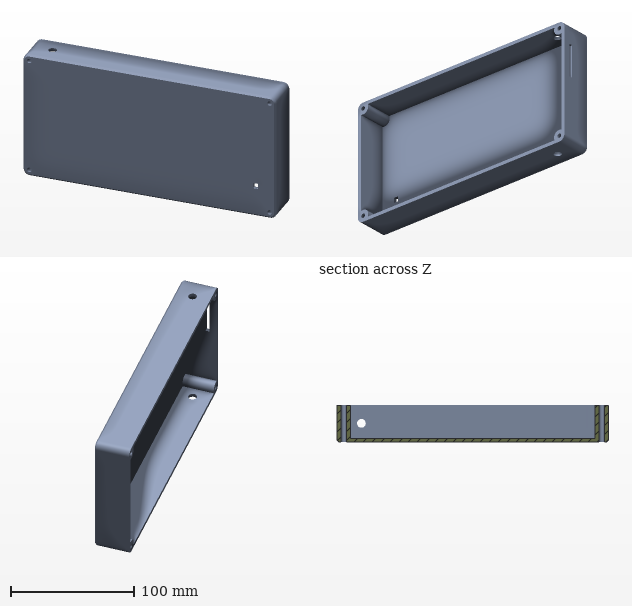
import cadquery as cq

length = 220.0
depth = 30.0
height = 110.0
corner_radius = 5.5
front_chamfer = 1.5
wall = 3.0

screw_diameter = 4.0
post_diameter = 2 * corner_radius

window_width = 4.2
window_height = 4.6
window_x = 92.5
window_z = -27.7

cable_hole_diameter = 7.0
cable_hole_x = -90.0

slot_width = 3.5
slot_height = 30.0
slot_z = 21.1
slot_back_distance = 8.0

front_y = -depth / 2
back_y = depth / 2
screw_x_spacing = length - 2 * corner_radius
screw_z_spacing = height - 2 * corner_radius


def front_plane(y):
    """Sketch plane facing -Y at the given Y; negative extrusions run toward +Y."""
    return cq.Workplane("XZ", origin=(0, y, 0))


def make_shell():
    """Rounded box with a chamfered front rim and a cavity open at the back."""
    outer = front_plane(front_y).rect(length, height).extrude(-depth)
    outer = outer.edges("|Y").fillet(corner_radius).faces("<Y").edges().chamfer(front_chamfer)
    cavity = front_plane(front_y + wall).rect(length - 2 * wall, height - 2 * wall).extrude(-depth)
    return outer.cut(cavity.edges("|Y").fillet(corner_radius - wall))


def screw_cylinders(diameter, start_y):
    """Four cylinders at the corners, from start_y to the open back."""
    centres = front_plane(start_y).rect(screw_x_spacing, screw_z_spacing, forConstruction=True)
    return centres.vertices().circle(diameter / 2).extrude(start_y - back_y)


def make_window():
    window = cq.Workplane("XY").box(window_width, 2 * wall, window_height)
    return window.translate((window_x, front_y, window_z))


def make_cable_hole():
    hole = cq.Workplane("XY").center(cable_hole_x, 0).circle(cable_hole_diameter / 2)
    return hole.extrude(height, both=True)


def make_slot():
    slot = cq.Workplane("XY").box(2 * wall, slot_width, slot_height)
    return slot.translate((-length / 2, back_y - slot_back_distance, slot_z))


result = (
    make_shell()
    .union(screw_cylinders(post_diameter, front_y + wall))
    .cut(screw_cylinders(screw_diameter, front_y))
    .cut(make_window())
    .cut(make_cable_hole())
    .cut(make_slot())
)